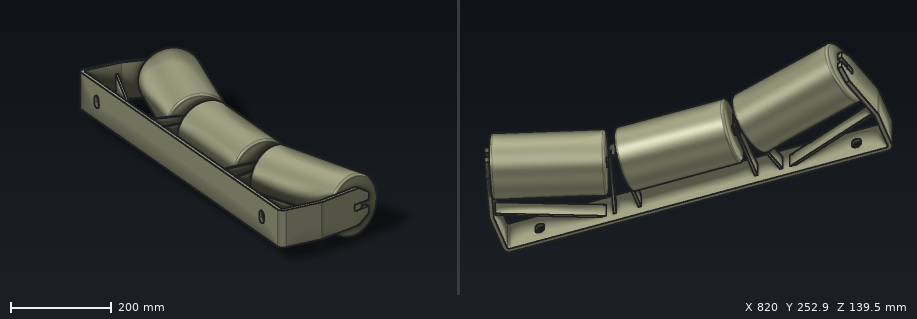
import cadquery as cq
import math

TILT = 15.0
LEAN = 1.7

FRAME_LENGTH = 820.0
FRAME_HEIGHT = 80.0
FRAME_THICKNESS = 9.0
BEND_RADIUS = 13.0
FRAME_KNEE = 95.0
FRAME_TIP = 221.0
TIP_CHAMFER_LENGTH = 28.0
TIP_CHAMFER_HEIGHT = 17.0

BOLT_SLOT_X = 334.0
BOLT_SLOT_WIDTH = 19.0
BOLT_SLOT_HEIGHT = 26.0

ROLLER_DIAMETER = 133.0
ROLLER_LENGTH = 230.5
ROLLER_FILLET = 5.0
SHAFT_DIAMETER = 20.5
SHAFT_FLATS = 14.0
CENTRE_ROLLER_Y = 125.5
CENTRE_ROLLER_Z = -7.0
SIDE_ROLLER_X = 261.5
SIDE_ROLLER_Y = 160.0
SIDE_ROLLER_Z = -4.0

BRACKET_HEIGHT = 35.0
BRACKET_THICKNESS = 6.0
BRACKET_CROWN_RADIUS = 11.5
BRACKET_CROWN_Y = 152.5
BRACKET_FACE_X = 120.0

BRACE_THICKNESS = 5.0
BRACE_HEIGHT = 35.0
BRACE_TOP_Y = 87.0
BRACE_FOOT_X = 193.5

SIN_TILT = math.sin(math.radians(TILT))
COS_TILT = math.cos(math.radians(TILT))
TAN_TILT = math.tan(math.radians(TILT))
FRAME_END_X = FRAME_LENGTH / 2
FRAME_INNER_X = FRAME_END_X - FRAME_THICKNESS
FRAME_TOP_X = FRAME_END_X - (FRAME_TIP - FRAME_KNEE) * TAN_TILT
CROWN_X = BRACKET_FACE_X + BRACKET_CROWN_RADIUS
CROWN_Y = BRACKET_CROWN_Y - BRACKET_CROWN_RADIUS
SLOT_REACH = 82.0

CENTRE_REACH = BRACKET_FACE_X + BRACKET_THICKNESS
INNER_REACH = (
    (SIDE_ROLLER_X - CROWN_X) * COS_TILT
    + (SIDE_ROLLER_Y - CROWN_Y) * SIN_TILT
    - BRACKET_CROWN_RADIUS
    + BRACKET_THICKNESS
)
OUTER_REACH = (
    (FRAME_END_X - SIDE_ROLLER_X) * COS_TILT
    + (FRAME_KNEE - SIDE_ROLLER_Y) * SIN_TILT
)


def place_centre(shape):
    """Move a shape built about the X axis to the centre roller."""
    return shape.translate((0, CENTRE_ROLLER_Y, CENTRE_ROLLER_Z))


def place_side(shape):
    """Move a shape built about the X axis to the side roller at +X."""
    leaned = shape.rotate((0, 0, 0), (0, 1, 0), -LEAN)
    tilted = leaned.rotate((0, 0, 0), (0, 0, 1), TILT)
    return tilted.translate((SIDE_ROLLER_X, SIDE_ROLLER_Y, SIDE_ROLLER_Z))


def mirrored(shape):
    return shape.mirror("YZ")


def rod(diameter, start, end):
    """Round bar along X."""
    return cq.Workplane("YZ", origin=(start, 0, 0)).circle(diameter / 2).extrude(end - start)


def flatted_shaft(start, end):
    """Round bar along X with two flats facing up and down."""
    length = end - start
    flats = cq.Workplane("XY", origin=((start + end) / 2, 0, 0)).box(length, SHAFT_DIAMETER, SHAFT_FLATS)
    return rod(SHAFT_DIAMETER, start, end).intersect(flats)


def shaft_slot(start, end):
    """Cutter for a flatted shaft, open towards +Y."""
    opening = cq.Workplane("XY", origin=(start, 0, 0)).box(
        end - start, SLOT_REACH, SHAFT_FLATS, centered=(False, False, True)
    )
    return flatted_shaft(start, end).union(opening)


def make_roller(low_reach, high_reach):
    """Drum on the X axis with a flatted shaft end on each side."""
    drum = rod(ROLLER_DIAMETER, -ROLLER_LENGTH / 2, ROLLER_LENGTH / 2).edges().fillet(ROLLER_FILLET)
    return drum.union(flatted_shaft(-low_reach, high_reach))


def frame_outline():
    """Centred strip profile in XY: base, two uprights and two inclined ends."""
    knee_inner_y = FRAME_KNEE - FRAME_THICKNESS * math.tan(math.radians(TILT / 2))
    end_dx = FRAME_THICKNESS * COS_TILT
    end_dy = FRAME_THICKNESS * SIN_TILT
    right_side = [
        (FRAME_END_X, 0),
        (FRAME_END_X, FRAME_KNEE),
        (FRAME_TOP_X, FRAME_TIP),
        (FRAME_TOP_X - end_dx, FRAME_TIP - end_dy),
        (FRAME_INNER_X, knee_inner_y),
        (FRAME_INNER_X, FRAME_THICKNESS),
    ]
    left_side = [(-x, y) for x, y in reversed(right_side)]
    return right_side + left_side


def tip_chamfers():
    """Cutters for the two corners of the inclined end at +X."""
    half_height = FRAME_HEIGHT / 2
    strip_plane = cq.Plane(
        origin=(FRAME_TOP_X, FRAME_TIP, 0),
        xDir=(-SIN_TILT, COS_TILT, 0),
        normal=(COS_TILT, SIN_TILT, 0),
    )
    cutters = cq.Workplane(strip_plane)
    for side in (-1, 1):
        cutters = cutters.polyline([
            (0, side * half_height),
            (-TIP_CHAMFER_LENGTH, side * half_height),
            (0, side * (half_height - TIP_CHAMFER_HEIGHT)),
        ]).close()
    return cutters.extrude(FRAME_THICKNESS, both=True)


def make_frame():
    frame = cq.Workplane("XY").polyline(frame_outline()).close().extrude(FRAME_HEIGHT / 2, both=True)

    inside_radius = BEND_RADIUS - FRAME_THICKNESS
    for bend_y in (0, FRAME_KNEE):
        for x in (-FRAME_END_X, FRAME_END_X):
            frame = frame.edges(cq.NearestToPointSelector((x, bend_y, 0))).fillet(BEND_RADIUS)
    for x in (-FRAME_INNER_X, FRAME_INNER_X):
        frame = frame.edges(cq.NearestToPointSelector((x, FRAME_THICKNESS, 0))).fillet(inside_radius)

    bolt_slots = (
        cq.Workplane("XZ")
        .pushPoints([(-BOLT_SLOT_X, 0), (BOLT_SLOT_X, 0)])
        .slot2D(BOLT_SLOT_HEIGHT, BOLT_SLOT_WIDTH, 90)
        .extrude(-FRAME_THICKNESS)
    )
    end_slot = place_side(shaft_slot(ROLLER_LENGTH / 2, OUTER_REACH + FRAME_THICKNESS))
    end_cuts = tip_chamfers().union(end_slot)
    return frame.cut(bolt_slots).cut(end_cuts).cut(mirrored(end_cuts))


def make_bracket():
    """Folded strip at +X: straight leg, round crown and inclined leg."""

    def fold(radius):
        """Solid inside a fold of the given outside radius, down to the frame base."""
        lean_x = CROWN_X + radius * COS_TILT
        lean_y = CROWN_Y + radius * SIN_TILT
        foot_x = lean_x + (lean_y - FRAME_THICKNESS) * TAN_TILT
        return (
            cq.Workplane("XY")
            .moveTo(CROWN_X - radius, FRAME_THICKNESS)
            .lineTo(CROWN_X - radius, CROWN_Y)
            .threePointArc((CROWN_X, CROWN_Y + radius), (lean_x, lean_y))
            .lineTo(foot_x, FRAME_THICKNESS)
            .close()
            .extrude(BRACKET_HEIGHT / 2, both=True)
        )

    bracket = fold(BRACKET_CROWN_RADIUS).cut(fold(BRACKET_CROWN_RADIUS - BRACKET_THICKNESS))
    centre_slot = place_centre(shaft_slot(ROLLER_LENGTH / 2, CENTRE_REACH))
    side_slot = place_side(shaft_slot(-INNER_REACH, -ROLLER_LENGTH / 2))
    return bracket.cut(centre_slot).cut(side_slot)


def make_brace():
    """Flat diagonal strip at +X between the frame base and the upright."""
    run = FRAME_INNER_X - BRACE_FOOT_X
    rise = BRACE_TOP_Y - FRAME_THICKNESS
    slant = math.hypot(run, rise)
    return (
        cq.Workplane("XY")
        .polyline([
            (BRACE_FOOT_X, FRAME_THICKNESS),
            (FRAME_INNER_X, BRACE_TOP_Y),
            (FRAME_INNER_X, BRACE_TOP_Y - BRACE_THICKNESS * slant / run),
            (BRACE_FOOT_X + BRACE_THICKNESS * slant / rise, FRAME_THICKNESS),
        ])
        .close()
        .extrude(BRACE_HEIGHT / 2, both=True)
    )


frame = make_frame()
centre_roller = place_centre(make_roller(CENTRE_REACH, CENTRE_REACH))
bodies = [frame.solids().val(), centre_roller.solids().val()]

side_roller = place_side(make_roller(INNER_REACH, OUTER_REACH))
for body in (side_roller, make_bracket(), make_brace()):
    bodies.append(body.solids().val())
    bodies.append(mirrored(body).solids().val())

result = cq.Compound.makeCompound(bodies)